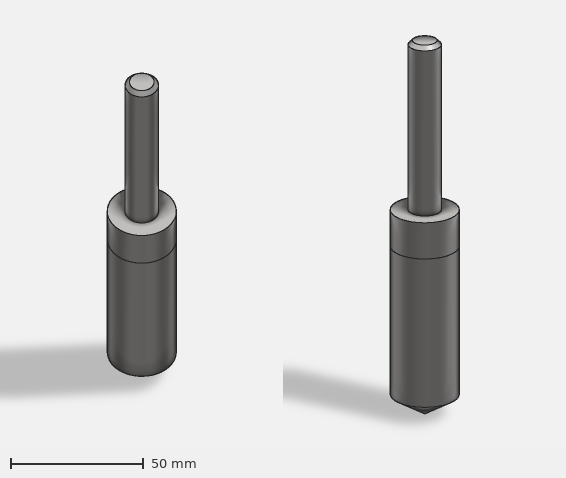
import cadquery as cq

total_height = 152.4
cone_height = 8.1
joint_height = 68.6
shoulder_height = 83.4

body_diameter = 26.0
shank_diameter = 12.6

bevel_width = 1.7
bevel_height = 1.7


def make_tip():
    """Solid cylinder that ends in a cone pointing down."""
    body_radius = body_diameter / 2
    return (
        cq.Workplane("XZ")
        .moveTo(0, 0)
        .lineTo(body_radius, cone_height)
        .lineTo(body_radius, joint_height)
        .lineTo(0, joint_height)
        .close()
        .revolve(360, (0, 0, 0), (0, 1, 0))
    )


def make_shank():
    """Collar seated on the tip, with a thinner bevelled shank above it."""
    body_radius = body_diameter / 2
    shank_radius = shank_diameter / 2
    return (
        cq.Workplane("XZ")
        .moveTo(0, joint_height)
        .lineTo(body_radius, joint_height)
        .lineTo(body_radius, shoulder_height)
        .lineTo(shank_radius, shoulder_height)
        .lineTo(shank_radius, total_height - bevel_height)
        .lineTo(shank_radius - bevel_width, total_height)
        .lineTo(0, total_height)
        .close()
        .revolve(360, (0, 0, 0), (0, 1, 0))
    )


tip = make_tip()
shank = make_shank()

result = cq.Compound.makeCompound([tip.val(), shank.val()])